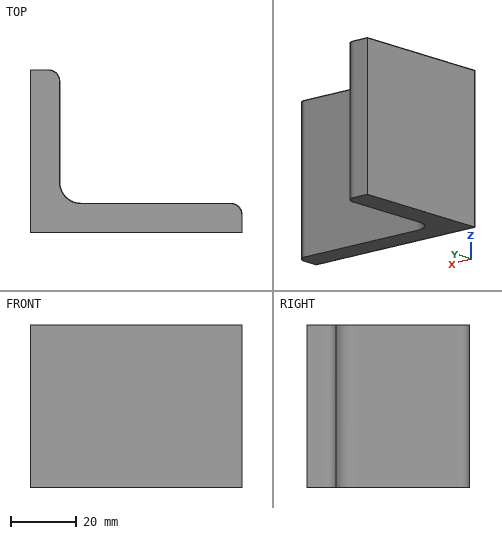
import cadquery as cq

long_leg = 65.0
short_leg = 50.0
thickness = 9.0
length = 50.0
root_radius = 6.5
toe_radius = 3.5


def angle_blank():
    """Sharp-cornered L section with its outer corner at the origin."""
    outline = [
        (0, 0),
        (long_leg, 0),
        (long_leg, thickness),
        (thickness, thickness),
        (thickness, short_leg),
        (0, short_leg),
    ]
    return cq.Workplane("XY").polyline(outline).close().extrude(length)


def round_vertical_edge(body, x, y, radius):
    """Fillet the vertical edge that passes through (x, y)."""
    edge = cq.selectors.NearestToPointSelector((x, y, length / 2))
    return body.edges("|Z").edges(edge).fillet(radius)


result = angle_blank()
result = round_vertical_edge(result, thickness, thickness, root_radius)
result = round_vertical_edge(result, long_leg, thickness, toe_radius)
result = round_vertical_edge(result, thickness, short_leg, toe_radius)